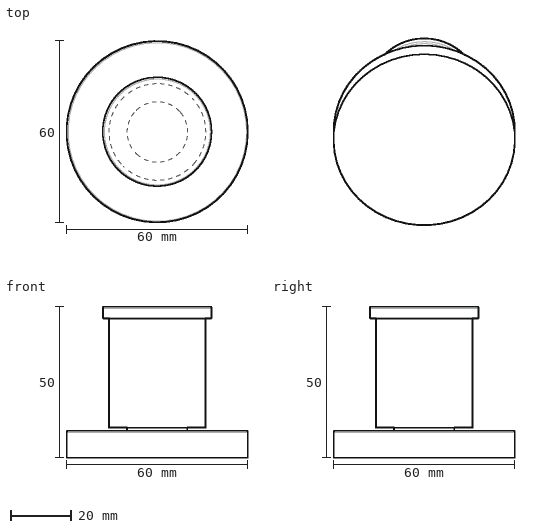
import cadquery as cq

base_diameter = 60.0
base_height = 9.0
neck_diameter = 20.0
neck_height = 1.0
stem_diameter = 32.0
stem_height = 36.0
cap_diameter = 36.0
cap_height = 4.0
edge_radius = 0.5

neck_bottom = base_height
stem_bottom = neck_bottom + neck_height
cap_bottom = stem_bottom + stem_height


def disc(diameter, height, bottom):
    """Upright cylinder on the Z axis, standing on the given height."""
    return cq.Workplane("XY").workplane(offset=bottom).circle(diameter / 2).extrude(height)


base = disc(base_diameter, base_height, 0).faces(">Z").edges().fillet(edge_radius)

neck = disc(neck_diameter, neck_height, neck_bottom)

stem = disc(stem_diameter, stem_height, stem_bottom)

cap = disc(cap_diameter, cap_height, cap_bottom).faces("<Z or >Z").edges().fillet(edge_radius)

result = cq.Compound.makeCompound([base.val(), neck.val(), stem.val(), cap.val()])